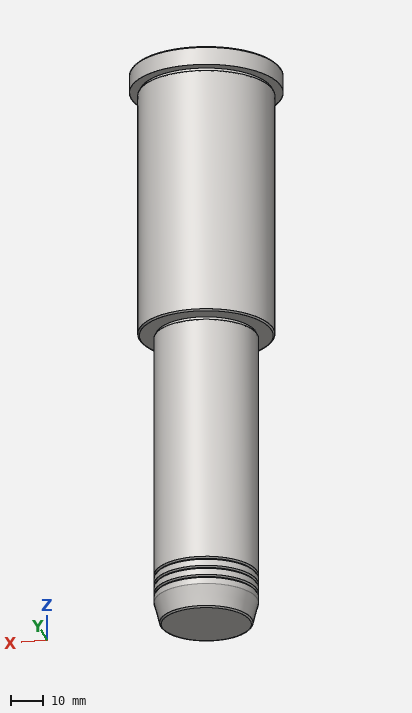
import cadquery as cq

total_length = 181.0
body_bottom = 95.0
body_length = 79.0
nose_length = 7.0

head_diameter = 47.0
body_diameter = 42.0
shaft_diameter = 32.0
nose_diameter = 28.6

edge_chamfer = 0.5

relief_width = 1.0
relief_depth = 0.5

groove_count = 3
groove_width = 1.0
groove_depth = groove_width / 2
groove_land = 2.0
groove_pitch = groove_width + groove_land
lowest_groove_height = nose_length + groove_land + groove_width / 2

head_bottom = body_bottom + body_length + relief_width
head_radius = head_diameter / 2
body_radius = body_diameter / 2
shaft_radius = shaft_diameter / 2
nose_radius = nose_diameter / 2


def cylinder(radius, bottom, top):
    """Solid cylinder on the Z axis between two heights."""
    return cq.Workplane("XY").workplane(offset=bottom).circle(radius).extrude(top - bottom)


def revolved(outline):
    """Solid of revolution about Z from (radius, height) points."""
    return cq.Workplane("XZ").polyline(outline).close().revolve(360, (0, 0, 0), (0, 1, 0))


def relief_cutter(radius, top):
    """Square-section ring that cuts into a cylinder of the given radius, just below a shoulder."""
    bottom = top - relief_width
    return cylinder(radius + relief_depth, bottom, top).cut(cylinder(radius - relief_depth, bottom, top))


def groove_cutter(centre_height):
    """V-section ring with its apex inside the shaft; the flanks run on past the surface."""
    return revolved([
        (shaft_radius - groove_depth, centre_height),
        (shaft_radius + groove_depth, centre_height + groove_width),
        (shaft_radius + groove_depth, centre_height - groove_width),
    ])


head = cylinder(head_radius, head_bottom, total_length).edges(">Z").chamfer(edge_chamfer)
body = cylinder(body_radius, body_bottom, head_bottom).edges("<Z").chamfer(edge_chamfer)
shaft = cylinder(shaft_radius, nose_length, body_bottom)
nose = revolved([
    (0, 0),
    (nose_radius - edge_chamfer, 0),
    (nose_radius, edge_chamfer),
    (shaft_radius, nose_length),
    (0, nose_length),
])
result = head.union(body).union(shaft).union(nose)

result = result.cut(relief_cutter(body_radius, head_bottom))
result = result.cut(relief_cutter(shaft_radius, body_bottom))

for index in range(groove_count):
    result = result.cut(groove_cutter(lowest_groove_height + index * groove_pitch))